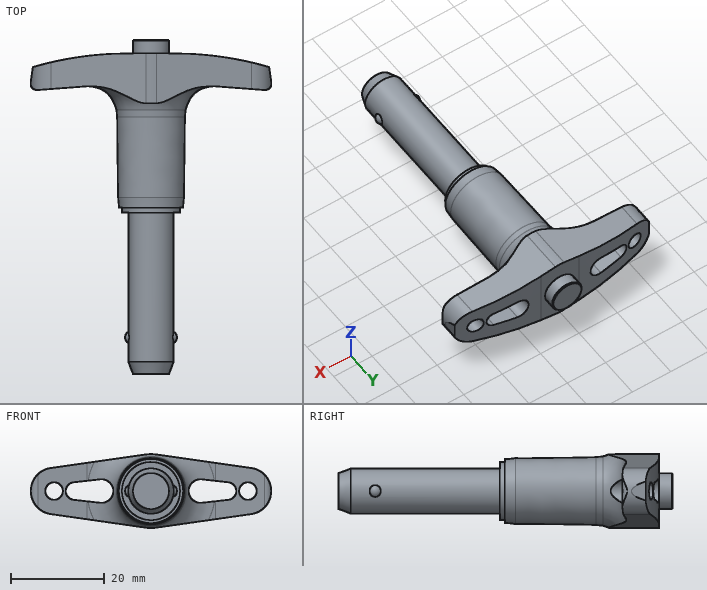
import cadquery as cq
import math

total_length = 71.5

shank_radius = 4.85
tip_radius = 3.85
tip_taper_length = 2.65
ball_radius = 1.35
ball_offset = 4.2
ball_y = 7.9

collar_radius = 6.2
collar_y = 34.5
shoulder_radius = 6.85
shoulder_y = 35.6
body_start_radius = 7.1
body_start_y = 37.8
body_end_radius = 7.3
body_end_y = 55.05
neck_radius = 7.45
neck_y = 56.55
flare_radius = 6.4
flare_top_y = 61.55

button_radius = 3.85
button_length = 2.85
button_chamfer = 0.2

handle_half_length = 25.75
hub_radius = 7.95
end_radius = 5.0
handle_top_y = total_length - button_length
crown_flat_half = 5.0
end_top_x = 25.3
end_bottom_x = 26.0
end_top_y = 65.7
end_bottom_y = 60.6
end_bottom_fillet = 1.4
end_hole_radius = 1.85
end_center_x = handle_half_length - end_radius

slot_inner_radius = 2.5
slot_inner_x = 10.6
slot_outer_radius = 1.85
slot_outer_x = 16.4

flare_center_y = flare_top_y - flare_radius
flare_start_angle = math.asin((neck_y - flare_center_y) / flare_radius)
flare_rim_radius = neck_radius + flare_radius * math.cos(flare_start_angle)


def tapered_slot(x1, r1, x2, r2):
    """Sketch two circles at z = 0 joined by their outer tangents (x1 < x2, r1 > r2)."""
    sine = (r1 - r2) / (x2 - x1)
    cosine = math.sqrt(1 - sine**2)
    start = (x1 + r1 * sine, r1 * cosine)
    end = (x2 + r2 * sine, r2 * cosine)
    return (
        cq.Workplane("XZ")
        .moveTo(*start)
        .lineTo(*end)
        .threePointArc((x2 + r2, 0), (end[0], -end[1]))
        .lineTo(start[0], -start[1])
        .threePointArc((x1 - r1, 0), start)
        .close()
    )


def through_y(sketch):
    """Extrude an XZ sketch over the full length of the pin."""
    return sketch.extrude(-total_length)


def both_sides(solid):
    return solid.union(solid.mirror("YZ"))


def make_plan():
    """Handle outline along Y: a large round hub narrowing to a round at each end."""
    return both_sides(through_y(tapered_slot(0, hub_radius, end_center_x, end_radius)))


def make_arms():
    """Handle side profile with a crowned back and a gently drooping underside."""
    crown_run = end_top_x - crown_flat_half
    crown_drop = handle_top_y - end_top_y
    crown_radius = (crown_run**2 + crown_drop**2) / (2 * crown_drop)
    half_angle = math.atan2(crown_drop, crown_run)
    crown_middle = (
        crown_flat_half + crown_radius * math.sin(half_angle),
        handle_top_y - crown_radius * (1 - math.cos(half_angle)),
    )
    half = (
        cq.Workplane("XY")
        .moveTo(0, flare_top_y)
        .lineTo(flare_rim_radius, flare_top_y)
        .lineTo(end_bottom_x, end_bottom_y)
        .lineTo(end_top_x, end_top_y)
        .threePointArc(crown_middle, (crown_flat_half, handle_top_y))
        .lineTo(0, handle_top_y)
        .close()
        .extrude(hub_radius, both=True)
    )
    half = half.edges("|Z").edges(">X").fillet(end_bottom_fillet)
    return both_sides(half)


def make_flare():
    """Concave round blending the neck into the underside of the handle."""
    middle_angle = (flare_start_angle + math.pi / 2) / 2
    return (
        cq.Workplane("XY")
        .moveTo(0, neck_y)
        .lineTo(neck_radius, neck_y)
        .threePointArc(
            (
                flare_rim_radius - flare_radius * math.cos(middle_angle),
                flare_center_y + flare_radius * math.sin(middle_angle),
            ),
            (flare_rim_radius, flare_top_y),
        )
        .lineTo(0, flare_top_y)
        .close()
        .revolve(360, (0, 0), (0, 1))
    )


def make_pin():
    """Shank, collar, body and neck turned about the pin axis."""
    return (
        cq.Workplane("XY")
        .lineTo(tip_radius, 0)
        .lineTo(shank_radius, tip_taper_length)
        .lineTo(shank_radius, collar_y)
        .lineTo(collar_radius, collar_y)
        .lineTo(collar_radius, shoulder_y)
        .lineTo(shoulder_radius, shoulder_y)
        .lineTo(body_start_radius, body_start_y)
        .lineTo(body_end_radius, body_end_y)
        .lineTo(neck_radius, neck_y)
        .lineTo(0, neck_y)
        .close()
        .revolve(360, (0, 0), (0, 1))
    )


def make_button():
    return (
        cq.Workplane("XZ", origin=(0, handle_top_y, 0))
        .circle(button_radius)
        .extrude(-button_length)
        .faces(">Y")
        .chamfer(button_chamfer)
    )


def make_openings():
    """Finger slot and small end hole in each arm."""
    slot = through_y(tapered_slot(slot_inner_x, slot_inner_radius, slot_outer_x, slot_outer_radius))
    hole = through_y(cq.Workplane("XZ").center(end_center_x, 0).circle(end_hole_radius))
    return both_sides(slot.union(hole))


handle = make_arms().union(make_flare()).intersect(make_plan()).cut(make_openings())
result = handle.union(make_pin()).union(make_button())

for side in (-1, 1):
    ball = cq.Workplane("XY").sphere(ball_radius).translate((side * ball_offset, ball_y, 0))
    result = result.union(ball)